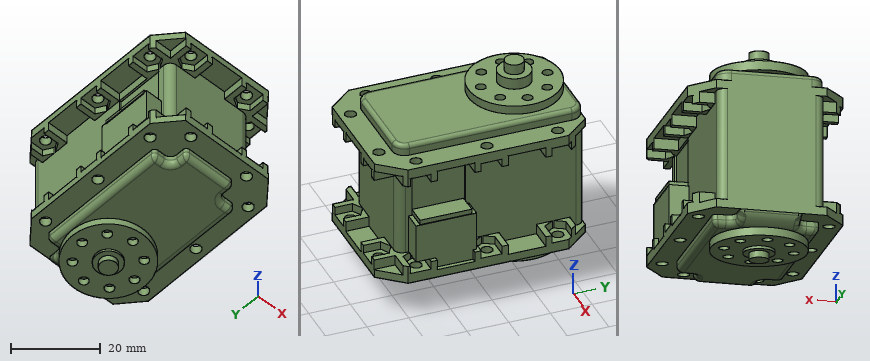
import cadquery as cq
import math


case_width = 24.4
case_length = 45.0
case_half_height = 17.7
body_corner_radius = 2.0
cap_corner_radius = 3.0
cap_top_fillet = 1.0

cap_notch = 5.0
cap_notch_outer_radius = 1.0
cap_notch_inner_radius = 2.0
cap_bottom_fillet = 1.5
cap_back_radius = 5.0
cap_back_inset = 4.4

flange_width = 35.6
flange_length = 50.6
flange_outer_z = 15.0
flange_inner_z = 10.5
flange_floor_z = 13.0
corner_cut_x = 5.1
corner_cut_y = 6.0

screw_diameter = 2.7
screw_pitch = 17.0
side_screw_x = 15.0
first_side_screw_inset = 7.55
front_screw_inset = 2.75
nut_pad_half_width = 4.0
nut_across_flats = 5.0
nut_floor_z = 12.5

groove_width = 12.75
groove_depth = 0.5
plug_width = 14.5
plug_reach = 16.75
plug_top_z = -1.0
collar_width = 12.45
collar_reach = 16.55
collar_top_z = 0.15
plug_front_inset = 8.35

shaft_inset = 12.0
pin_diameter = 4.5
horn_diameter = 22.0
horn_hole_diameter = 2.4
horn_hole_circle = 16.0
horn_hole_count = 8
horn_inner_z = 18.45
top_neck_diameter = 10.0
top_horn_outer_z = 20.6
top_hub_diameter = 8.0
top_hub_z = 23.35
top_pin_z = 25.85
bottom_neck_diameter = 12.5
bottom_horn_outer_z = 20.4
bottom_hub_diameter = 7.2
bottom_hub_z = 21.05
bottom_pin_z = 22.6

back_y = flange_length / 2
front_y = -back_y
case_side = case_width / 2
case_front_y = back_y - case_length
case_center_y = back_y - case_length / 2
shaft_y = back_y - shaft_inset
plug_center_y = front_y + plug_front_inset + plug_width / 2
side_screw_ys = [back_y - first_side_screw_inset - i * screw_pitch for i in range(3)]
front_screw_xs = [-screw_pitch / 2, screw_pitch / 2]
front_screw_y = front_y + front_screw_inset


def box(x_range, y_range, z_range):
    """Box between the given limits on each axis."""
    sizes = [abs(end - start) for start, end in (x_range, y_range, z_range)]
    corner = (min(x_range), min(y_range), min(z_range))
    return cq.Workplane("XY").box(*sizes, centered=False).translate(corner)


def rounded_block(bottom_z, top_z, corner_radius):
    """Block with the plan size of the case and rounded upright edges."""
    return (
        cq.Workplane("XY", origin=(0, case_center_y, bottom_z))
        .rect(case_width, case_length)
        .extrude(top_z - bottom_z)
        .edges("|Z")
        .fillet(corner_radius)
    )


def make_bottom_cap():
    """Lower cap: notched corners, a rolled back end and a rounded lower rim."""
    height = case_half_height - flange_outer_z
    plan = cq.Workplane("XY", origin=(0, case_center_y, -case_half_height))
    cap = plan.rect(case_width, case_length).extrude(height)
    notches = (
        plan.rect(case_width, case_length, forConstruction=True)
        .vertices()
        .rect(2 * cap_notch, 2 * cap_notch)
        .extrude(height)
        .edges("|Z")
        .fillet(cap_notch_inner_radius)
    )
    cap = cap.cut(notches)
    cap = cap.edges("|Z and (<X or >X or <Y or >Y)").fillet(cap_notch_outer_radius)

    roll_y = back_y - cap_back_inset
    roll_z = cap_back_radius - case_half_height
    roll = (
        cq.Workplane("YZ", origin=(-case_side, roll_y, roll_z))
        .circle(cap_back_radius)
        .extrude(case_width)
    )
    straight_part = box((-case_side, case_side), (case_front_y, roll_y), (-case_half_height, -flange_outer_z))
    cap = cap.intersect(straight_part.union(roll))
    return cap.edges("not (|Z or >Z)").fillet(cap_bottom_fillet)


def make_flange():
    """Upper flange: a plate with nut pads left standing on its lower face."""
    flange = (
        cq.Workplane("XY", origin=(0, 0, flange_inner_z))
        .polyline(flange_outline())
        .close()
        .extrude(flange_outer_z - flange_inner_z)
    )
    return flange.cut(flange_recesses())


def flange_outline():
    """Rectangle with four cut corners."""
    x = flange_width / 2
    y = flange_length / 2
    return [
        (x, corner_cut_y - y),
        (x, y - corner_cut_y),
        (x - corner_cut_x, y),
        (corner_cut_x - x, y),
        (-x, y - corner_cut_y),
        (-x, corner_cut_y - y),
        (corner_cut_x - x, -y),
        (x - corner_cut_x, -y),
    ]


def flange_recesses():
    """Shallow recesses between the nut pads, on both sides and at both ends."""
    depth = (flange_inner_z, flange_floor_z)
    edge_x = flange_width / 2
    pad_end_x = screw_pitch / 2 + nut_pad_half_width
    pad_start_x = screw_pitch / 2 - nut_pad_half_width
    first_y, middle_y, last_y = side_screw_ys
    recesses = box((-pad_start_x, pad_start_x), (front_y, case_front_y), depth)
    for side in (-1, 1):
        side_x = (side * case_side, side * edge_x)
        back_x = (0, side * edge_x)
        recesses = recesses.union(box(back_x, (first_y + nut_pad_half_width, back_y), depth))
        for upper_y, lower_y in ((first_y, middle_y), (middle_y, last_y)):
            limits = (lower_y + nut_pad_half_width, upper_y - nut_pad_half_width)
            recesses = recesses.union(box(side_x, limits, depth))
        corner_x = (side * pad_end_x, side * edge_x)
        recesses = recesses.union(box(corner_x, (front_y, last_y - nut_pad_half_width), depth))
    return recesses


def screw_places():
    """Centre and outward angle of every flange screw."""
    places = [(side_screw_x, y, 0) for y in side_screw_ys]
    places += [(-side_screw_x, y, 180) for y in side_screw_ys]
    places += [(x, front_screw_y, -90) for x in front_screw_xs]
    return places


def make_screw_cuts():
    """Screw holes of the upper flange with hexagonal nut pockets open towards the nearest rim."""
    half_flat = nut_across_flats / 2
    point = nut_across_flats / math.sqrt(3)
    open_end = 2 * point
    pocket = (
        cq.Workplane("XY", origin=(0, 0, flange_inner_z))
        .moveTo(-point, 0)
        .lineTo(-point / 2, -half_flat)
        .lineTo(open_end, -half_flat)
        .lineTo(open_end, half_flat)
        .lineTo(-point / 2, half_flat)
        .close()
        .extrude(nut_floor_z - flange_inner_z)
    )
    hole = (
        cq.Workplane("XY", origin=(0, 0, nut_floor_z))
        .circle(screw_diameter / 2)
        .extrude(flange_outer_z - nut_floor_z)
    )
    cut = pocket.union(hole)
    cuts = cq.Workplane("XY")
    for x, y, angle in screw_places():
        cuts = cuts.union(cut.rotate((0, 0, 0), (0, 0, 1), angle).translate((x, y, 0)))
    return cuts


def make_plug(side):
    """Cable plug on one side of the case, with a narrower collar on top."""
    wall_x = side * (case_side - groove_depth)

    def plug_box(reach, width, top_z):
        y_range = (plug_center_y - width / 2, plug_center_y + width / 2)
        return box((wall_x, side * reach), y_range, (-flange_floor_z, top_z))

    plug = plug_box(plug_reach, plug_width, plug_top_z)
    collar = plug_box(collar_reach, collar_width, collar_top_z)
    return plug.union(collar)


def make_groove(side):
    """Shallow cable groove in the case wall above the plug."""
    y_range = (plug_center_y - groove_width / 2, plug_center_y + groove_width / 2)
    x_range = (side * (case_side - groove_depth), side * case_side)
    return box(x_range, y_range, (-flange_inner_z, flange_inner_z))


def disc(diameter, start_z, end_z):
    """Cylinder on the shaft axis."""
    return cq.Workplane("XY", origin=(0, shaft_y, start_z)).circle(diameter / 2).extrude(end_z - start_z)


def make_shaft(neck_diameter, horn_z, hub_diameter, hub_z, pin_z):
    """Neck, drilled horn, hub and pin stacked upwards from the case."""
    holes = (
        cq.Workplane("XY", origin=(0, shaft_y, horn_inner_z))
        .polarArray(horn_hole_circle / 2, 0, 360, horn_hole_count)
        .circle(horn_hole_diameter / 2)
        .extrude(horn_z - horn_inner_z)
    )
    horn = disc(horn_diameter, horn_inner_z, horn_z).cut(holes)
    neck = disc(neck_diameter, case_half_height, horn_inner_z)
    hub = disc(hub_diameter, horn_z, hub_z)
    pin = disc(pin_diameter, hub_z, pin_z)
    return neck.union(horn).union(hub).union(pin)


def mirrored_down(shape):
    """Copy of an upper shape on the lower side."""
    return shape.mirror("XY")


frame = make_flange()
frame = frame.union(mirrored_down(frame))
for side in (-1, 1):
    frame = frame.union(make_plug(side))
screw_cuts = make_screw_cuts()
frame = frame.cut(screw_cuts).cut(mirrored_down(screw_cuts))

body = rounded_block(-flange_outer_z, flange_outer_z, body_corner_radius)
for side in (-1, 1):
    body = body.cut(make_groove(side))
top_cap = rounded_block(flange_outer_z, case_half_height, cap_corner_radius)
top_cap = top_cap.faces(">Z").edges().fillet(cap_top_fillet)

top_shaft = make_shaft(top_neck_diameter, top_horn_outer_z, top_hub_diameter, top_hub_z, top_pin_z)
bottom_shaft = mirrored_down(
    make_shaft(bottom_neck_diameter, bottom_horn_outer_z, bottom_hub_diameter, bottom_hub_z, bottom_pin_z)
)

result = frame.union(body)
for piece in (top_cap, make_bottom_cap(), top_shaft, bottom_shaft):
    result = result.union(piece)